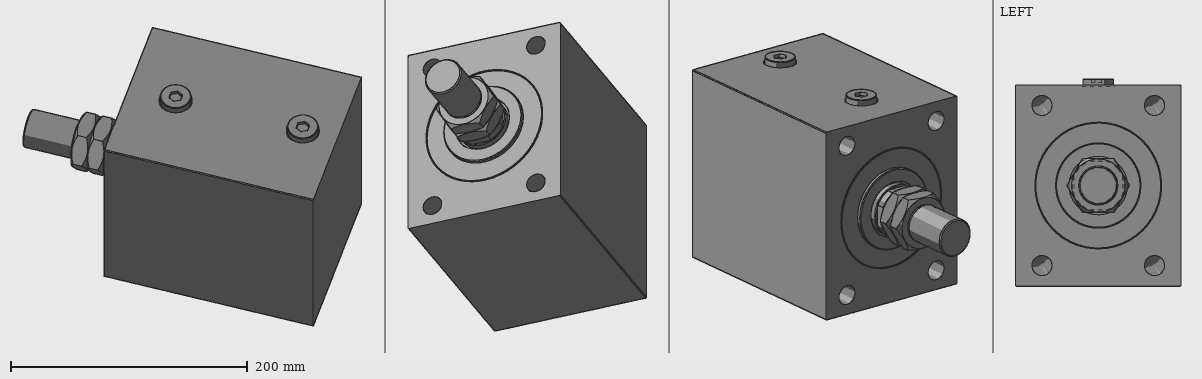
import cadquery as cq
import math


overall_length = 273.0
overall_height = 175.0

block_length = 184.5
block_width = 140.0
block_height = 170.0
block_edge_chamfer = 0.8

mount_hole_diameter = 17.0
mount_hole_depth = 38.2
mount_pitch_y = 95.0
mount_pitch_z = 135.0
drill_point_angle = 118.0

collar_diameter = 72.0
collar_height = 3.5
collar_chamfer = 0.8
groove_outer_diameter = 107.0
groove_width = 0.8
groove_depth = 0.8

rod_diameter = 45.0
rod_reach = overall_length - block_length
rod_insertion = 45.0
rod_chamfer = 0.8
wiper_recess_diameter = 49.5
wiper_recess_depth = 2.7
shoulder_length = 3.3
wrench_flat_length = 8.7
wrench_flat_size = 40.7
stud_diameter = 33.0
stud_chamfer = 1.0
stud_free_length = 42.5
neck_diameter = 30.0
neck_fillet = 0.8

nut_count = 2
nut_flat_size = 46.0
nut_thickness = 14.2
nut_face_diameter = 45.0
nut_chamfer_angle = 40.0

port_positions_x = (41.8, 154.0)
plug_diameter = 26.0
plug_height = overall_height - block_height
plug_chamfer = 0.5
socket_flat_size = 10.0
socket_depth = 3.0
port_recess_diameter = 27.8
port_recess_depth = 1.5

rod_tip = -rod_reach
shoulder_start = -collar_height - shoulder_length
nuts_end = shoulder_start - wrench_flat_length
nuts_start = nuts_end - nut_count * nut_thickness
neck_start = rod_tip + stud_free_length
block_top = block_height / 2


def cylinder_x(diameter, start, end):
    """Cylinder on the rod axis between two X positions."""
    return cq.Workplane("YZ", origin=(start, 0, 0)).circle(diameter / 2).extrude(end - start)


def hexagon_diameter(flat_size):
    """Corner-to-corner diameter of a hexagon with the given size across flats."""
    return flat_size / math.cos(math.pi / 6)


def mounting_hole(y, z):
    """Blind drilled hole from the front face, with a conical bottom."""
    radius = mount_hole_diameter / 2
    tip_length = radius / math.tan(math.radians(drill_point_angle / 2))
    profile = [
        (0, 0),
        (0, radius),
        (mount_hole_depth, radius),
        (mount_hole_depth + tip_length, 0),
    ]
    hole = cq.Workplane("XY").polyline(profile).close().revolve(360, (0, 0, 0), (1, 0, 0))
    return hole.translate((0, y, z))


def make_housing():
    """Block with its front collar, rod bore, mounting holes and port recesses."""
    block = cq.Workplane("XY").box(block_length, block_width, block_height, centered=(False, True, True))
    block = block.edges("|X").chamfer(block_edge_chamfer)

    groove = cylinder_x(groove_outer_diameter, 0, groove_depth)
    groove = groove.cut(cylinder_x(groove_outer_diameter - 2 * groove_width, 0, groove_depth))
    block = block.cut(groove)

    collar = cylinder_x(collar_diameter, -collar_height, 0).faces("<X").chamfer(collar_chamfer)
    block = block.union(collar)
    block = block.cut(cylinder_x(rod_diameter, -collar_height, rod_insertion))
    block = block.cut(cylinder_x(wiper_recess_diameter, -collar_height, wiper_recess_depth - collar_height))

    for y in (-mount_pitch_y / 2, mount_pitch_y / 2):
        for z in (-mount_pitch_z / 2, mount_pitch_z / 2):
            block = block.cut(mounting_hole(y, z))

    for x in port_positions_x:
        recess = cq.Workplane("XY", origin=(x, 0, block_top)).circle(port_recess_diameter / 2)
        block = block.cut(recess.extrude(-port_recess_depth))
    return block


def make_rod():
    """Rod with four wrench flats and a stud end that has a filleted neck in front of the nuts."""
    stud_radius = stud_diameter / 2
    neck_radius = neck_diameter / 2
    shank = cylinder_x(rod_diameter, shoulder_start, rod_insertion).faces("<X").chamfer(rod_chamfer)
    flats = cylinder_x(rod_diameter, nuts_end, shoulder_start).faces("<X").chamfer(rod_chamfer)
    flats = flats.intersect(
        cq.Workplane("YZ", origin=(nuts_end, 0, 0))
        .rect(wrench_flat_size, wrench_flat_size)
        .extrude(wrench_flat_length)
    )
    stud_profile = (
        cq.Workplane("XY")
        .moveTo(rod_tip, 0)
        .lineTo(rod_tip, stud_radius - stud_chamfer)
        .lineTo(rod_tip + stud_chamfer, stud_radius)
        .lineTo(neck_start, stud_radius)
        .lineTo(neck_start, neck_radius + neck_fillet)
        .radiusArc((neck_start + neck_fillet, neck_radius), -neck_fillet)
        .lineTo(nuts_start - neck_fillet, neck_radius)
        .radiusArc((nuts_start, neck_radius + neck_fillet), -neck_fillet)
        .lineTo(nuts_start, stud_radius)
        .lineTo(nuts_end, stud_radius)
        .lineTo(nuts_end, 0)
        .close()
    )
    stud = stud_profile.revolve(360, (0, 0, 0), (1, 0, 0))
    return shank.union(flats).union(stud)


def make_nut(start):
    """Hexagon nut with both faces chamfered, two flats facing up and down."""
    corner_diameter = hexagon_diameter(nut_flat_size)
    nut = cq.Workplane("YZ", origin=(start, 0, 0)).polygon(6, corner_diameter).extrude(nut_thickness)

    face_radius = nut_face_diameter / 2
    corner_radius = corner_diameter / 2
    chamfer_length = (corner_radius - face_radius) * math.tan(math.radians(nut_chamfer_angle))
    envelope_profile = [
        (0, 0),
        (0, face_radius),
        (chamfer_length, corner_radius),
        (nut_thickness - chamfer_length, corner_radius),
        (nut_thickness, face_radius),
        (nut_thickness, 0),
    ]
    envelope = cq.Workplane("XY").polyline(envelope_profile).close().revolve(360, (0, 0, 0), (1, 0, 0))
    nut = nut.intersect(envelope.translate((start, 0, 0)))
    return nut.cut(cylinder_x(stud_diameter, start, start + nut_thickness))


def make_plug(x):
    """Round port plug seated in its recess, with a hexagon socket in the top."""
    plug = cq.Workplane("XY", origin=(x, 0, block_top - port_recess_depth))
    plug = plug.circle(plug_diameter / 2).extrude(port_recess_depth + plug_height)
    plug = plug.faces(">Z").chamfer(plug_chamfer)
    socket = cq.Workplane("XY", origin=(x, 0, block_top + plug_height))
    socket = socket.transformed(rotate=(0, 0, 90)).polygon(6, hexagon_diameter(socket_flat_size))
    return plug.cut(socket.extrude(-socket_depth))


housing = make_housing()
rod = make_rod()
nuts = [make_nut(nuts_start + i * nut_thickness) for i in range(nut_count)]
plugs = [make_plug(x) for x in port_positions_x]

result = cq.Compound.makeCompound(
    [housing.val(), rod.val(), *[nut.val() for nut in nuts], *[plug.val() for plug in plugs]]
)